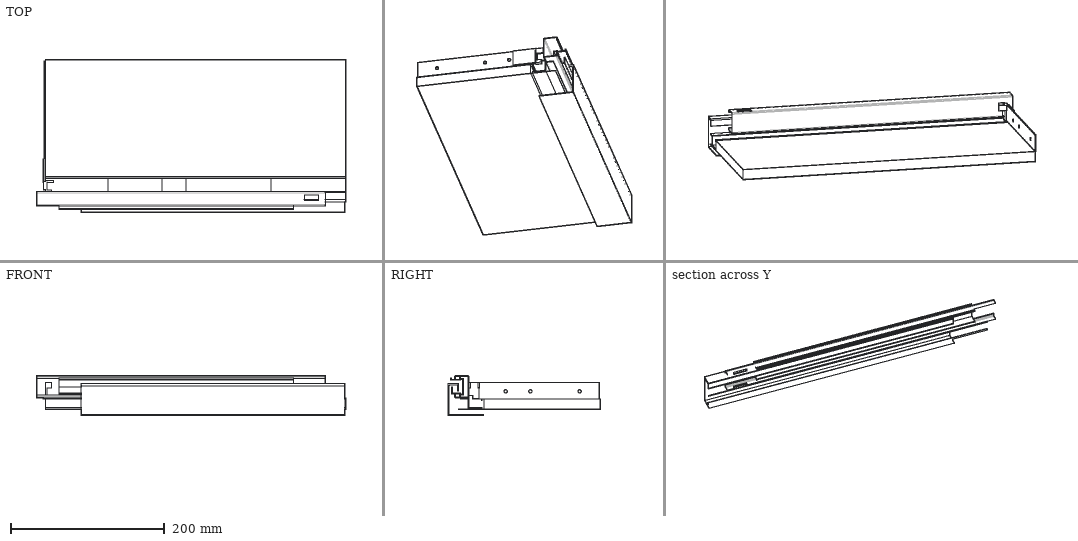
import cadquery as cq


length = 401.5
depth = 198.5
height = 51.8

rail_wall = 1.2
skin_wall = 0.6
panel_wall = 1.5
tab_wall = 2.0

rail_length = 375.0
rail_front = 8.5
rail_back = 27.5
rail_bottom = 23.0
rail_lip = 4.0
rail_bend = 2.0
stop_start = 347.5
stop_length = 18.0
stop_front = 15.3
stop_depth = 7.5
stop_drop = 2.5

middle_start = 29.0
middle_end = 333.5
middle_gap = 2.5
middle_front = 3.5
middle_back = 20.5
middle_step = 15.0
upper_lip_tip = 49.0
lower_lip_front = 5.0
lower_lip_tip = 37.0

cover_start = 58.0
cover_end = 400.3
cover_top = 41.8
cover_top_wall = 2.5
foot_depth = 46.0
hook_back = 13.5
hook_tip = 31.7
cover_bend = 1.2

shelf_start = 11.2
shelf_bottom = 7.5
shelf_top = 21.5
skin_lower_front = 13.5
skin_upper_front = 43.8
skin_hem = 2.5
board_front = 46.5

support_seat_front = 16.5
support_seat_wall = rail_bottom - shelf_top
tab_back = 44.0
tab_windows = [(92.7, 163.0), (194.0, 304.5)]

panel_start = shelf_start - panel_wall
panel_front = 40.0
panel_back = 196.7
panel_top = 43.0
panel_hole_diameter = 4.0
panel_hole_height = 31.5
panel_hole_places = [75.0, 107.0, 171.0]

bracket_leg_start = panel_start - panel_wall
bracket_leg_back = 69.5
bracket_leg_front = 39.0
bracket_body_start = 9.0
bracket_body_end = 13.5
bracket_body_back = panel_front
bracket_foot_front = 32.0
bracket_foot_top = 25.5
recess_top = 35.7
recess_back = 37.7
recess_depth = 2.5
inner_flange_wall = 2.5
inner_flange_end = 22.0
rail_flange_end = 19.3
rail_flange_wall = 2.0


def block(x_range, y_range, z_range):
    """Box between the given limits along each axis."""
    size = [limits[1] - limits[0] for limits in (x_range, y_range, z_range)]
    corner = (x_range[0], y_range[0], z_range[0])
    return cq.Workplane("XY").box(*size, centered=False).translate(corner)


def make_outer_rail():
    """C channel with rounded bends and a lanced stop in each flange."""
    span = (0, rail_length)
    rail = block(span, (rail_front, rail_back), (rail_bottom, height)).edges("|X").fillet(rail_bend)
    inner_bottom = rail_bottom + rail_wall
    inner_top = height - rail_wall
    inside = block(span, (rail_front + rail_wall, rail_back - rail_wall), (inner_bottom, inner_top))
    inside = inside.edges("|X").fillet(rail_bend - rail_wall)
    mouth = block(span, (rail_front, middle_step), (rail_bottom + rail_lip, height - rail_lip))
    rail = rail.cut(inside).cut(mouth)

    stop_span = (stop_start, stop_start + stop_length)
    window = block(stop_span, (stop_front, stop_front + stop_depth), (rail_bottom, height))
    tab_y = (stop_front, stop_front + rail_wall)
    upper_tab = block(stop_span, tab_y, (inner_top - stop_drop, height))
    lower_tab = block(stop_span, tab_y, (rail_bottom, inner_bottom + stop_drop))
    return rail.cut(window).union(upper_tab).union(lower_tab)


def make_middle_rail():
    """Channel with stepped flanges and an upward lip on each."""
    top = height - rail_wall - middle_gap
    bottom = rail_bottom + rail_wall + middle_gap
    upper_step = top - rail_wall
    lower_step = bottom + rail_wall
    profile = [
        (middle_back, bottom),
        (middle_step, bottom),
        (middle_step, lower_step),
        (lower_lip_front, lower_step),
        (lower_lip_front, lower_lip_tip),
        (lower_lip_front + rail_wall, lower_lip_tip),
        (lower_lip_front + rail_wall, lower_step + rail_wall),
        (middle_step + rail_wall, lower_step + rail_wall),
        (middle_step + rail_wall, lower_step),
        (middle_back - rail_wall, lower_step),
        (middle_back - rail_wall, upper_step),
        (middle_step + rail_wall, upper_step),
        (middle_step + rail_wall, upper_step - rail_wall),
        (middle_front, upper_step - rail_wall),
        (middle_front, upper_lip_tip),
        (middle_front + rail_wall, upper_lip_tip),
        (middle_front + rail_wall, upper_step),
        (middle_step, upper_step),
        (middle_step, top),
        (middle_back, top),
    ]
    section = cq.Workplane("YZ").workplane(offset=middle_start).polyline(profile).close()
    return section.extrude(middle_end - middle_start)


def make_cover():
    """Front wall with a wide foot below and a hook over the rails above."""
    hook_front = hook_back - rail_wall
    under_top = cover_top - cover_top_wall
    profile = [
        (0, 0),
        (foot_depth, 0),
        (foot_depth, rail_wall),
        (rail_wall, rail_wall),
        (rail_wall, under_top - cover_bend),
        (rail_wall + cover_bend, under_top),
        (hook_front, under_top),
        (hook_front, hook_tip),
        (hook_back, hook_tip),
        (hook_back, cover_top),
        (0, cover_top),
    ]
    section = cq.Workplane("YZ").workplane(offset=cover_start).polyline(profile).close()
    return section.extrude(cover_end - cover_start)


def make_shelf_skin():
    """Sheet folded below, behind and above the board, hemmed at its upper front edge."""
    span = (shelf_start, length)
    floor = block(span, (skin_lower_front, depth), (shelf_bottom, shelf_bottom + skin_wall))
    back = block(span, (depth - skin_wall, depth), (shelf_bottom, shelf_top))
    roof = block(span, (skin_upper_front, depth), (shelf_top - skin_wall, shelf_top))
    hem = block(span, (skin_upper_front, skin_upper_front + skin_wall), (shelf_top - skin_hem, shelf_top))
    return floor.union(back).union(roof).union(hem)


def make_shelf_board():
    """Solid board filling the folded skin."""
    return block(
        (shelf_start, length),
        (board_front, depth - skin_wall),
        (shelf_bottom + skin_wall, shelf_top - skin_wall),
    )


def make_support():
    """Z-section: seat under the outer rail, upright web, and tabs resting on the skin."""
    span = (shelf_start, length)
    base = shelf_bottom + skin_wall
    tab_z = (base, base + tab_wall)
    seat = block(span, (support_seat_front, rail_back), (rail_bottom - support_seat_wall, rail_bottom))
    web = block(span, (rail_back - rail_wall, rail_back), (base, rail_bottom))
    tabs = block(span, (rail_back, tab_back), tab_z)
    for window in tab_windows:
        tabs = tabs.cut(block(window, (rail_back, tab_back), tab_z))
    return seat.union(web).union(tabs)


def make_end_panel():
    """Upright plate at the end of the shelf with a row of holes."""
    panel = block(
        (panel_start, shelf_start),
        (panel_front, panel_back),
        (shelf_top - skin_wall, panel_top),
    )
    holes = (
        cq.Workplane("YZ")
        .workplane(offset=panel_start)
        .pushPoints([(y, panel_hole_height) for y in panel_hole_places])
        .circle(panel_hole_diameter / 2)
        .extrude(panel_wall)
    )
    return panel.cut(holes)


def make_bracket():
    """Bracket joining the end panel to the back of the outer rail."""
    full_height = (shelf_top, panel_top)
    body_x = (bracket_body_start, bracket_body_end)
    leg = block((bracket_leg_start, panel_start), (bracket_leg_front, bracket_leg_back), full_height)
    body = block(body_x, (rail_back, bracket_body_back), full_height)
    notch = block(body_x, (rail_back, bracket_foot_front), (shelf_top, bracket_foot_top))
    recess = block(
        (bracket_body_start, bracket_body_start + recess_depth),
        (rail_back, recess_back),
        (bracket_foot_top, recess_top),
    )
    inner_flange_y = (bracket_leg_front, bracket_leg_front + inner_flange_wall)
    inner_flange = block((shelf_start, inner_flange_end), inner_flange_y, (recess_top, panel_top))
    rail_flange_y = (rail_back, rail_back + rail_flange_wall)
    rail_flange_start = bracket_body_start + recess_depth
    relief = block((bracket_body_start, rail_flange_start), rail_flange_y, (recess_top, panel_top))
    rail_flange = block((rail_flange_start, rail_flange_end), rail_flange_y, (recess_top, panel_top))
    return body.cut(notch).cut(recess).cut(relief).union(leg).union(inner_flange).union(rail_flange)


outer_rail = make_outer_rail()
middle_rail = make_middle_rail()
cover = make_cover()
shelf_skin = make_shelf_skin()
shelf_board = make_shelf_board()
support = make_support()
end_panel = make_end_panel()
bracket = make_bracket()

result = cq.Compound.makeCompound([
    outer_rail.val(),
    middle_rail.val(),
    cover.val(),
    shelf_skin.val(),
    shelf_board.val(),
    support.val(),
    end_panel.val(),
    bracket.val(),
])